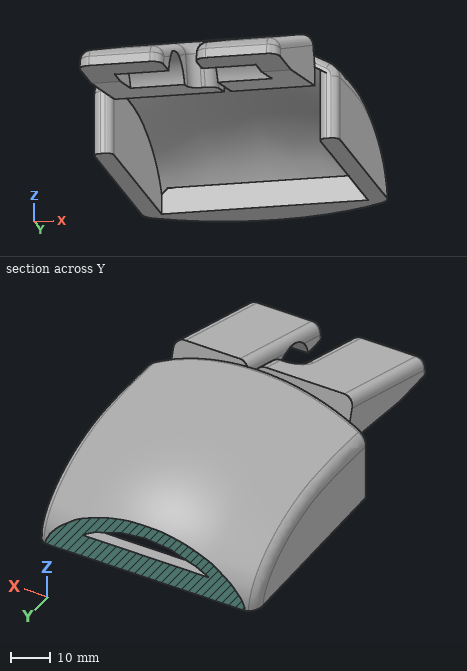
import cadquery as cq
import math


overall_length = 109.1

shell_width = 64.5
shell_height = 29.6
shell_length = 67.2
crest_y = 20.7
crest_drop = 0.8
crown_radius = 57.8
shell_corner = 4.5
side_wall = 5.1
ceiling = 3.0
rim_round = 2.0
rear_block_y = 55.5
rear_block_height = 6.9
band_depth = 15.3
core_depth = 13.6
path_steps = 9
trim_margin = 3.3

button_width = 21.9
wheel_gap = 8.7
wheel_x = -0.2
gap_left_x = wheel_x - wheel_gap / 2
gap_right_x = wheel_x + wheel_gap / 2
bridge_x = 2.3
bridge_front_y = -12.3
button_round = 3.0
button_slope = 17.8
button_top_y = -2.4
button_top_z = 27.5
button_root_y = 0.1
button_rear_bottom_z = 14.3
button_bottom_z = 10.7
button_bottom_bend_y = -26.6
button_front_y = shell_length - overall_length
front_lean = 0.2

wheel_radius = 9.3
wheel_y = -23.7
wheel_z = 9.1
wheel_pocket_depth = 14.2

slope_angle = math.radians(button_slope)
top_normal = cq.Vector(0, -math.sin(slope_angle), math.cos(slope_angle))


def crown_path():
    """Middle line of the crown: a quarter ellipse up to the crest, then falling gently forward."""
    half_length = shell_length - crest_y
    angles = [math.radians(90 * step / path_steps) for step in range(path_steps + 1)]
    rise = [
        (crest_y + half_length * math.cos(angle), shell_height * math.sin(angle)) for angle in angles
    ]
    rim = (0, shell_height - crest_drop)
    front = (-trim_margin, shell_height - crest_drop * (1 + trim_margin / crest_y) ** 2)
    return cq.Workplane("YZ").spline(rise + [rim, front])


def crown_section(inset, corner):
    """Closed section at the base of the path: arched outer edge, rounded corners, straight sides."""
    half = shell_width / 2 - inset
    radius = crown_radius - inset
    centre_y = shell_length - crown_radius
    corner_x = half - corner
    corner_y = centre_y + math.sqrt((radius - corner) ** 2 - corner_x ** 2)
    crown_angle = math.atan2(corner_y - centre_y, corner_x)
    touch_x = radius * math.cos(crown_angle)
    touch_y = centre_y + radius * math.sin(crown_angle)
    mid_x = corner_x + corner * math.cos(crown_angle / 2)
    mid_y = corner_y + corner * math.sin(crown_angle / 2)
    inner_y = shell_length - band_depth
    return (
        cq.Workplane("XY")
        .moveTo(-half, inner_y)
        .lineTo(-half, corner_y)
        .threePointArc((-mid_x, mid_y), (-touch_x, touch_y))
        .threePointArc((0, centre_y + radius), (touch_x, touch_y))
        .threePointArc((mid_x, mid_y), (half, corner_y))
        .lineTo(half, inner_y)
        .close()
    )


def dome(inset, corner):
    """Solid dome inset from the outer surface of the shell, cut off flat at the rim."""
    width = shell_width - 2 * inset
    band = crown_section(inset, corner).sweep(crown_path())
    core_height = shell_height - core_depth
    core = (
        cq.Workplane("YZ")
        .moveTo(shell_length - core_depth, 0)
        .ellipseArc(shell_length - core_depth - crest_y, core_height, 0, 90, startAtCurrent=True)
        .lineTo(-trim_margin, core_height)
        .lineTo(-trim_margin, 0)
        .close()
        .extrude(width / 2, both=True)
    )
    behind_rim = cq.Workplane("XY").box(
        shell_width, 2 * shell_length, 2 * shell_height, centered=(True, False, False)
    )
    return band.union(core).intersect(behind_rim)


def palm_shell():
    """Hollow dome with upright side walls inside and a flat-fronted solid rear end."""
    rear_block = (
        cq.Workplane("XY")
        .box(shell_width, shell_length, rear_block_height, centered=(True, False, False))
        .translate((0, rear_block_y, 0))
    )
    cavity_width = shell_width - 2 * side_wall
    between_walls = cq.Workplane("XY").box(cavity_width, 2 * shell_length, 2 * shell_height)
    cavity = dome(ceiling, shell_corner - ceiling).intersect(between_walls).cut(rear_block)
    shell = dome(0, shell_corner).cut(cavity)
    rim_edges = shell.faces("<Y").edges("not <Z")
    ceiling_edge = rim_edges.edges(cq.selectors.NearestToPointSelector((0, 0, shell_height / 2))).val()
    rounded_edges = [edge for edge in rim_edges.vals() if not edge.isSame(ceiling_edge)]
    return shell.newObject(rounded_edges).fillet(rim_round)


def button_blank(x_from, x_to):
    """Wedge between two x positions, with the side profile of a button."""
    slope = math.tan(slope_angle)
    root_top_z = button_top_z - (button_root_y - button_top_y) / slope
    rise = button_top_z + slope * (button_front_y - button_top_y) - button_bottom_z
    front_height = rise / (1 - slope * front_lean)
    profile = [
        (button_root_y, button_rear_bottom_z),
        (button_root_y, root_top_z),
        (button_top_y, button_top_z),
        (button_front_y + front_lean * front_height, button_bottom_z + front_height),
        (button_front_y, button_bottom_z),
        (button_bottom_bend_y, button_bottom_z),
    ]
    return (
        cq.Workplane("YZ")
        .workplane(offset=x_from)
        .polyline(profile)
        .close()
        .extrude(x_to - x_from)
    )


def rounded(button, step_corners=()):
    """Round the front corners, any given upright edges and the top rim, all but its rear edge."""
    top = button.faces(cq.selectors.DirectionMinMaxSelector(top_normal, True))
    rear_edge = top.edges("|X").edges(">Y").val()
    top_edges = [edge for edge in top.edges().vals() if not edge.isSame(rear_edge)]
    front_corners = button.faces("<Y").edges("<X or >X").vals()
    return button.newObject(top_edges + front_corners + list(step_corners)).fillet(button_round)


def wheel_pocket():
    """Disc-shaped clearance for the wheel, reaching into the sides of both buttons."""
    return (
        cq.Workplane("YZ", origin=(wheel_x, 0, 0))
        .center(wheel_y, wheel_z)
        .circle(wheel_radius)
        .extrude(wheel_gap / 2 + wheel_pocket_depth, both=True)
    )


def left_button():
    """Button with a wide rear part that bridges behind the wheel."""
    top_z = button_top_z + math.tan(slope_angle) * (bridge_front_y - button_top_y)
    recess = (
        cq.Workplane("XY")
        .box(shell_width, shell_length, 2 * shell_height, centered=(False, False, True))
        .translate((gap_left_x, -shell_length, 0))
        .rotate((0, 0, 0), (1, 0, 0), button_slope)
        .translate((0, bridge_front_y, top_z))
    )
    button = button_blank(gap_left_x - button_width, bridge_x).cut(recess)
    step_corners = button.edges(cq.selectors.ParallelDirSelector(top_normal)).edges("<Y")
    return rounded(button, step_corners.vals())


def right_button():
    """Plain straight button."""
    return rounded(button_blank(gap_right_x, gap_right_x + button_width))


buttons = left_button().union(right_button()).cut(wheel_pocket())
result = palm_shell().union(buttons)